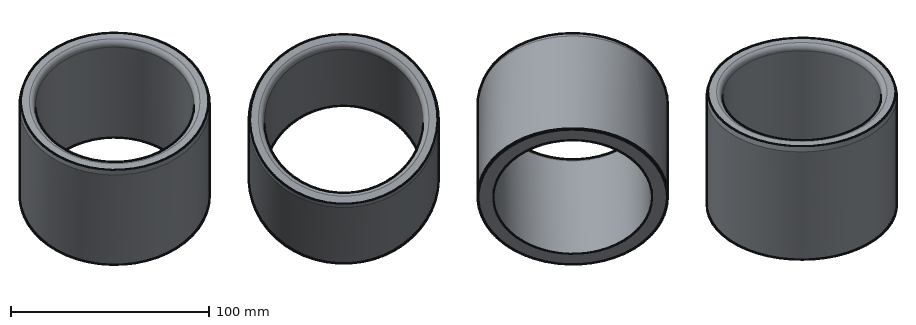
import cadquery as cq
import math

outer_diameter = 96
bore_diameter = 80.0
height = 70.0

lead_in_height = 3.0
lead_in_angle = math.radians(15)
bore_round_radius = 3.0
bottom_chamfer = 0.5

outer_radius = outer_diameter / 2
bore_radius = bore_diameter / 2
lead_in_depth = lead_in_height * math.tan(lead_in_angle)


def half_section():
    """Wall section in the XZ plane, with the bore rounded at the top."""
    round_center_x = bore_radius + bore_round_radius
    round_center_z = height - bore_round_radius
    round_offset = bore_round_radius * math.sqrt(0.5)
    return (
        cq.Workplane("XZ")
        .moveTo(bore_radius, 0)
        .lineTo(outer_radius - bottom_chamfer, 0)
        .lineTo(outer_radius, bottom_chamfer)
        .lineTo(outer_radius, height - lead_in_height)
        .lineTo(outer_radius - lead_in_depth, height)
        .lineTo(round_center_x, height)
        .threePointArc(
            (round_center_x - round_offset, round_center_z + round_offset),
            (bore_radius, round_center_z),
        )
        .close()
    )


result = half_section().revolve(360, (0, 0, 0), (0, 1, 0))